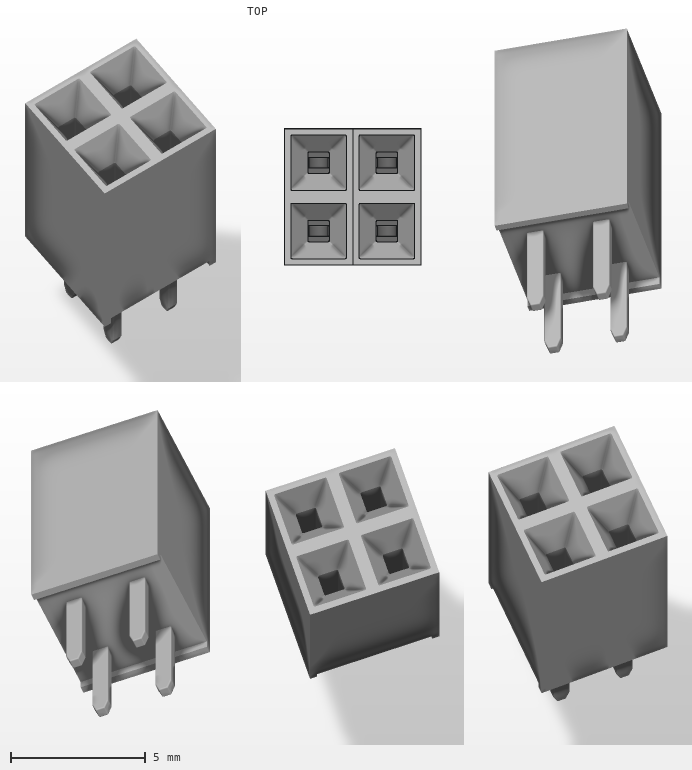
import cadquery as cq

PITCH = 2.54
MODULES = 2
CONTACTS = 2
TOTAL_HEIGHT = 11.7

HOUSING_HEIGHT = 8.5
HOUSING_LENGTH = CONTACTS * PITCH
FOOT_HEIGHT = 0.32
FOOT_LENGTH = 0.28

MOUTH_SIZE = 2.06
WELL_SIZE = 0.8
MOUTH_DEPTH = 1.25
WELL_DEPTH = 4.68
SOCKET_CORNER_RADIUS = 0.05

CONTACT_THICKNESS = 0.4
CONTACT_EDGE_RADIUS = 0.05
CRADLE_SIDE_EMBED = 0.12
CRADLE_WIDTH = WELL_SIZE + 2 * CRADLE_SIDE_EMBED
CRADLE_HEIGHT = 1.75
CRADLE_RADIUS = 0.35
PIN_WIDTH = 0.64
PIN_TIP_WIDTH = 0.35
PIN_TIP_LENGTH = 0.39

PIN_TIP_Z = HOUSING_HEIGHT - TOTAL_HEIGHT
WELL_FLOOR_Z = HOUSING_HEIGHT - MOUTH_DEPTH - WELL_DEPTH
CRADLE_TOP_Z = WELL_FLOOR_Z + CRADLE_HEIGHT


def centred_row(count):
    """Positions of equally pitched items, centred on zero."""
    return [(index - (count - 1) / 2) * PITCH for index in range(count)]


def make_block():
    """Plain housing block with a foot along each Y end."""
    block = cq.Workplane("XY").box(PITCH, HOUSING_LENGTH, HOUSING_HEIGHT, centered=(True, True, False))
    gap_length = HOUSING_LENGTH - 2 * FOOT_LENGTH
    foot_gap = cq.Workplane("XY").box(PITCH, gap_length, FOOT_HEIGHT, centered=(True, True, False))
    return block.cut(foot_gap)


def make_socket():
    """Volume removed for one contact: tapered mouth and well, with rounded corners."""
    mouth = (
        cq.Workplane("XY", origin=(0, 0, HOUSING_HEIGHT))
        .rect(MOUTH_SIZE, MOUTH_SIZE)
        .workplane(offset=-MOUTH_DEPTH)
        .rect(WELL_SIZE, WELL_SIZE)
        .loft(ruled=True)
        .edges("not(|X or |Y)")
        .fillet(SOCKET_CORNER_RADIUS)
    )
    well = (
        cq.Workplane("XY", origin=(0, 0, WELL_FLOOR_Z))
        .rect(WELL_SIZE, WELL_SIZE)
        .extrude(WELL_DEPTH)
        .edges("|Z")
        .fillet(SOCKET_CORNER_RADIUS)
    )
    return mouth.union(well)


def make_cradle():
    """Contact part on the well floor, set into the side walls, with a round trough across its top."""
    cradle = cq.Workplane("XY", origin=(0, 0, WELL_FLOOR_Z)).box(
        CRADLE_WIDTH, CONTACT_THICKNESS, CRADLE_HEIGHT, centered=(True, True, False)
    )
    trough = (
        cq.Workplane("XZ", origin=(0, 0, CRADLE_TOP_Z))
        .circle(CRADLE_RADIUS)
        .extrude(CONTACT_THICKNESS / 2, both=True)
    )
    trough_edges = cq.selectors.BoxSelector(
        (-CRADLE_RADIUS, -CONTACT_THICKNESS, CRADLE_TOP_Z - CRADLE_RADIUS),
        (CRADLE_RADIUS, CONTACT_THICKNESS, CRADLE_TOP_Z - CRADLE_RADIUS / 2),
    )
    return cradle.cut(trough).edges(trough_edges).fillet(CONTACT_EDGE_RADIUS)


def make_pin():
    """Flat pin with a tapered tip and rounded edges, ending at the housing underside."""
    half_width = PIN_WIDTH / 2
    half_tip = PIN_TIP_WIDTH / 2
    taper_z = PIN_TIP_Z + PIN_TIP_LENGTH
    return (
        cq.Workplane("XZ")
        .polyline(
            [
                (-half_width, FOOT_HEIGHT),
                (-half_width, taper_z),
                (-half_tip, PIN_TIP_Z),
                (half_tip, PIN_TIP_Z),
                (half_width, taper_z),
                (half_width, FOOT_HEIGHT),
            ]
        )
        .close()
        .extrude(CONTACT_THICKNESS / 2, both=True)
        .faces("<Y or >Y or <Z")
        .edges("not(>Z)")
        .fillet(CONTACT_EDGE_RADIUS)
    )


def make_module(x):
    """One housing with its contacts, as a single solid centred on x."""
    module = make_block()
    for y in centred_row(CONTACTS):
        module = module.cut(make_socket().translate((0, y, 0)))
        module = module.union(make_cradle().translate((0, y, 0)))
        module = module.union(make_pin().translate((0, y, 0)))
    return module.translate((x, 0, 0))


modules = [make_module(x) for x in centred_row(MODULES)]

result = cq.Compound.makeCompound([module.val() for module in modules])